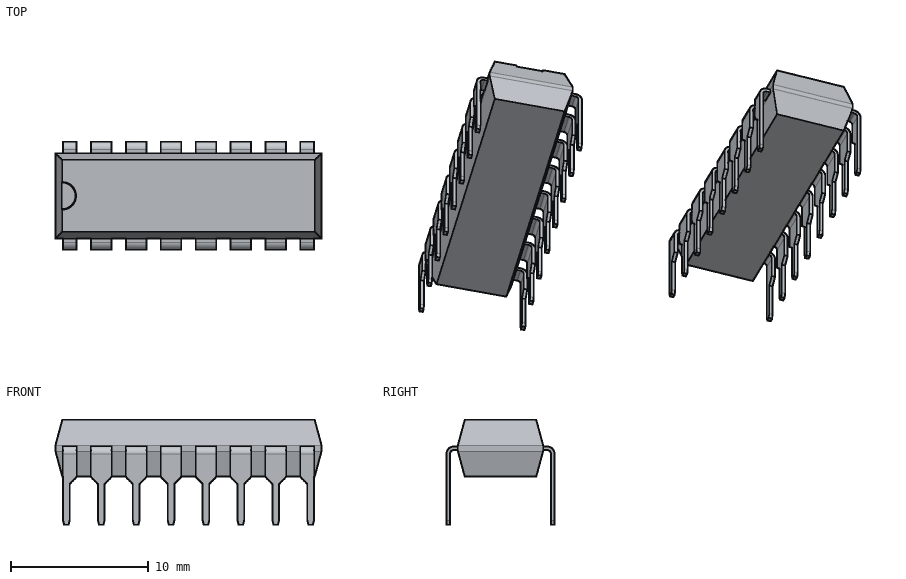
import cadquery as cq
import math


body_length = 19.4
body_width = 6.23
body_top = 7.66
body_bottom = 3.51
band_height = 0.4
face_inset = 0.5
body_middle = (body_top + body_bottom) / 2
draft_height = (body_top - body_bottom - band_height) / 2
draft_angle = math.degrees(math.atan(face_inset / draft_height))

notch_radius = 1.0
notch_depth = 0.17
notch_draft_angle = 15.0

leads_per_side = 8
lead_pitch = 2.55
lead_span = 7.88
lead_thickness = 0.27
bend_inner_radius = 0.27
bend_outer_radius = bend_inner_radius + lead_thickness
lead_width = 1.51
pin_width = 0.5
shoulder_top = 3.5
shoulder_bottom = shoulder_top - (lead_width - pin_width) / 2
tip_width = 0.33
tip_height = 0.35
lead_top = body_middle + lead_thickness / 2
lead_embedding = 0.39


def make_body():
    """Band with a tapered block on its upper and lower faces."""
    upper = (
        cq.Workplane("XY", origin=(0, 0, body_middle))
        .rect(body_length, body_width)
        .extrude(band_height / 2)
        .faces(">Z")
        .workplane()
        .rect(body_length, body_width)
        .extrude(draft_height, taper=draft_angle)
    )
    lower = upper.mirror("XY", (0, 0, body_middle))
    return upper.union(lower)


def make_notch():
    """Shallow tapered disc, centred on the edge of the top face."""
    edge_x = -body_length / 2 + face_inset
    return (
        cq.Workplane("XY", origin=(edge_x, 0, body_top))
        .circle(notch_radius)
        .extrude(-notch_depth, taper=notch_draft_angle)
    )


def make_bent_strips():
    """Side profile of the bent lead, run along the whole row on both sides."""
    outer_y = lead_span / 2
    inner_y = outer_y - lead_thickness
    root_y = body_width / 2 - lead_embedding
    bend_y = outer_y - bend_outer_radius
    bend_z = lead_top - bend_outer_radius
    diagonal = math.sqrt(0.5)

    def bend_middle(radius):
        return bend_y + radius * diagonal, bend_z + radius * diagonal

    strip = (
        cq.Workplane("YZ")
        .moveTo(root_y, lead_top)
        .lineTo(bend_y, lead_top)
        .threePointArc(bend_middle(bend_outer_radius), (outer_y, bend_z))
        .lineTo(outer_y, 0)
        .lineTo(inner_y, 0)
        .lineTo(inner_y, bend_z)
        .threePointArc(bend_middle(bend_inner_radius), (bend_y, lead_top - lead_thickness))
        .lineTo(root_y, lead_top - lead_thickness)
        .close()
        .extrude(body_length / 2, both=True)
    )
    return strip.union(strip.mirror("XZ"))


def make_lead_outline(center_x, left_width, right_width):
    """Front outline of one lead, extruded across both rows.

    The two widths are the distances from the pin centre to the sides of the wide part.
    """
    half_pin = pin_width / 2
    half_tip = tip_width / 2
    points = [(-half_tip, 0), (half_tip, 0), (half_pin, tip_height), (half_pin, shoulder_bottom)]
    if right_width > half_pin:
        points.append((right_width, shoulder_top))
    points += [(right_width, lead_top), (-left_width, lead_top)]
    if left_width > half_pin:
        points.append((-left_width, shoulder_top))
    points += [(-half_pin, shoulder_bottom), (-half_pin, tip_height)]
    return (
        cq.Workplane("XZ", origin=(center_x, 0, 0))
        .polyline(points)
        .close()
        .extrude(lead_span, both=True)
    )


def make_leads():
    """Both rows of leads; the end leads have a shoulder on their inner side only."""
    outlines = cq.Workplane("XY")
    last = leads_per_side - 1
    for index in range(leads_per_side):
        center_x = (index - last / 2) * lead_pitch
        left_width = pin_width / 2 if index == 0 else lead_width / 2
        right_width = pin_width / 2 if index == last else lead_width / 2
        outlines = outlines.add(make_lead_outline(center_x, left_width, right_width))
    return make_bent_strips().intersect(outlines.combine())


result = make_body().cut(make_notch()).union(make_leads())